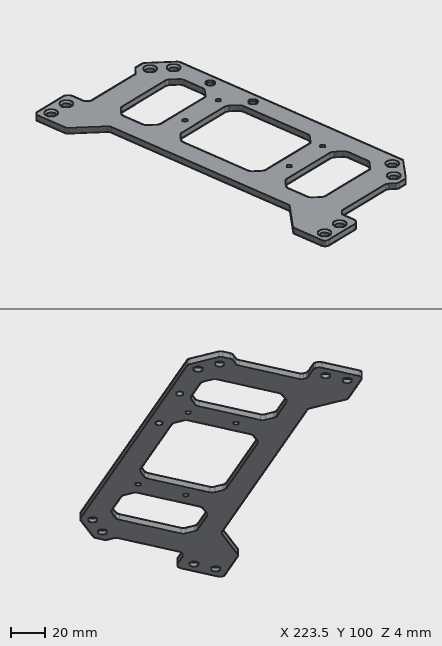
import cadquery as cq

LENGTH = 223.5
DEPTH = 100.0
THICKNESS = 4.0
CORNER_RADIUS = 3.0
FOOT_BACK_RADIUS = 4.0

FOOT_X = LENGTH / 2
EAR_X = 100.8
WAIST_X = 96.1
FOOT_INNER_X = 87.0

BACK_Y = DEPTH / 2
FOOT_FRONT_Y = -DEPTH / 2
FOOT_HEIGHT = 30.0
FOOT_BACK_Y = FOOT_FRONT_Y + FOOT_HEIGHT
EAR_FRONT_Y = 28.0

EAR_BEVEL = 14.8
FOOT_FRONT_BEVEL = 17.9
FOOT_BACK_BEVEL = 2.7
EAR_FRONT_BEVEL = EAR_X - WAIST_X

WINDOW_BACK_Y = 36.0
WINDOW_HEIGHT = 53.9
WINDOW_BEVEL = 6.0
WINDOW_RADIUS = 4.0
MIDDLE_WINDOW_WIDTH = 64.6
SIDE_WINDOW_INNER_X = 48.3
SIDE_WINDOW_WIDTH = 29.7

LARGE_HOLE = 5.4
LARGE_SINK = 8.0
EAR_HOLES = [(83.8, 42.7), (93.5, 32.9)]
FOOT_HOLES = [(104.9, -29.0), (104.9, -42.7)]

MEDIUM_HOLE = 4.2
MEDIUM_SINK = 5.8
RAIL_HOLES = [(-56.3, 43.4), (-23.5, 43.4)]

SINK_ANGLE = 90

SMALL_HOLE = 3.1
WEB_HOLES = [(40.0, 31.5), (40.0, 1.5)]


def mirrored(points):
    """The points together with their mirror images across X = 0."""
    return points + [(-x, y) for x, y in points]


def make_plate():
    """Solid plate with every outline corner rounded, the foot back corners more than the rest."""
    right_half = [
        (EAR_X - EAR_BEVEL, BACK_Y),
        (EAR_X, BACK_Y - EAR_BEVEL),
        (EAR_X, EAR_FRONT_Y),
        (WAIST_X, EAR_FRONT_Y - EAR_FRONT_BEVEL),
        (WAIST_X, FOOT_BACK_Y + FOOT_BACK_BEVEL),
        (WAIST_X + FOOT_BACK_BEVEL, FOOT_BACK_Y),
        (FOOT_X, FOOT_BACK_Y),
        (FOOT_X, FOOT_FRONT_Y),
        (FOOT_INNER_X, FOOT_FRONT_Y),
        (FOOT_INNER_X - FOOT_FRONT_BEVEL, FOOT_FRONT_Y + FOOT_FRONT_BEVEL),
    ]
    left_half = [(-x, y) for x, y in reversed(right_half)]
    outline = right_half + left_half
    plate = cq.Workplane("XY").polyline(outline).close().extrude(THICKNESS)
    for corner in outline:
        is_foot_back = abs(corner[0]) == FOOT_X and corner[1] == FOOT_BACK_Y
        radius = FOOT_BACK_RADIUS if is_foot_back else CORNER_RADIUS
        corner_edge = cq.selectors.NearestToPointSelector((*corner, THICKNESS / 2))
        plate = plate.edges("|Z").edges(corner_edge).fillet(radius)
    return plate


def make_window(center_x, width):
    """Cutter for a window with bevelled corners, each end of a bevel rounded."""
    center_y = WINDOW_BACK_Y - WINDOW_HEIGHT / 2
    block = cq.Workplane("XY").center(center_x, center_y).rect(width, WINDOW_HEIGHT).extrude(THICKNESS)
    return block.edges("|Z").chamfer(WINDOW_BEVEL).edges("|Z").fillet(WINDOW_RADIUS)


def on_top(plate, points):
    """The points placed on the plate's top face."""
    return plate.faces(">Z").workplane(origin=(0, 0, 0)).pushPoints(points)


plate = make_plate()

plate = plate.cut(make_window(0, MIDDLE_WINDOW_WIDTH))
side_window_x = SIDE_WINDOW_INNER_X + SIDE_WINDOW_WIDTH / 2
for side in (-1, 1):
    plate = plate.cut(make_window(side * side_window_x, SIDE_WINDOW_WIDTH))

plate = on_top(plate, mirrored(EAR_HOLES + FOOT_HOLES)).cskHole(LARGE_HOLE, LARGE_SINK, SINK_ANGLE)
plate = on_top(plate, RAIL_HOLES).cskHole(MEDIUM_HOLE, MEDIUM_SINK, SINK_ANGLE)
plate = on_top(plate, mirrored(WEB_HOLES)).hole(SMALL_HOLE)

result = plate